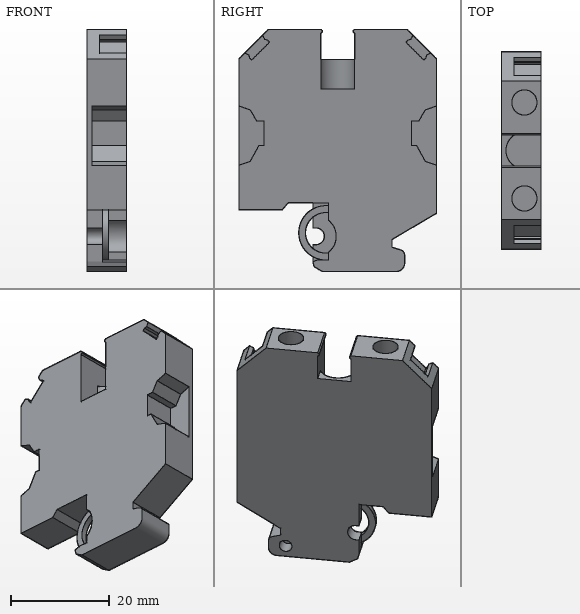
import cadquery as cq
import math

thickness = 8.0
length = 40.0
height = 49.0
half_length = length / 2

top_chamfer = 6.0
body_bottom_z = 12.5
underside_step_z = 13.9
step_outer_y = -11.2
step_inner_y = -10.0
rear_bottom_z = 11.8

foot_front_y = -5.05
foot_neck_y = 11.0
foot_neck_top_z = 6.5
foot_neck_bottom_z = 4.95
foot_toe_y = 13.55
toe_slope_end = (12.75, 4.4)
toe_side_top_z = 3.4
toe_radius = 1.75
foot_chamfer_upper_z = 2.0
foot_chamfer_mid = (-4.8, 1.0)
foot_chamfer_lower_y = -3.1
foot_hole_center = (10.0, 2.5)
foot_hole_diameter = 2.6
foot_hole_depth = 3.0

channel_width = 6.8
channel_depth = 6.1
bead_height = 0.28
slot_radius = 3.72
slot_depth = 6.0

screw_x = 4.63
screw_y = 9.7
screw_diameter = 5.1
screw_depth = 12.0

label_x = 2.55
label_width = 5.1
label_depth = 2.0
lip_height = 0.3
lip_tip_depth = 0.9
lip_base_depth = 1.4

entry_x = 1.05
entry_mid_z = 27.5
entry_mouth_half = 6.0
entry_lip_half = 5.2
entry_lip_depth = 2.3
entry_throat_top_z = 30.5
entry_throat_bottom_z = 25.5
entry_throat_top_depth = 3.6
entry_throat_bottom_depth = 4.05
entry_depth = 5.05

ring_x = 3.14
ring_thickness = 1.26
ring_center = (-2.4, 7.85)
ring_outer_radius = 5.5
ring_inner_radius = 4.1
pocket_wall_y = -1.85
pocket_floor_z = 2.4
pocket_floor_front_y = -4.0

notch_center = (-4.4, 7.15)
notch_radius = 1.67
bore_radius = 4.1


def profile_plane(x):
    """Sketch plane at the given X whose local axes are Y and Z."""
    return cq.Workplane("YZ", origin=(x, 0, 0))


def mirrored_pair(solid):
    """The solid together with its mirror image across Y = 0."""
    return solid.union(solid.mirror("XZ"))


def make_housing():
    """Full-thickness outline of the housing and its rail foot."""
    arc_offset = toe_radius * (1 - math.sqrt(0.5))
    return (
        profile_plane(0)
        .moveTo(-half_length, body_bottom_z)
        .lineTo(-half_length, height - top_chamfer)
        .lineTo(-half_length + top_chamfer, height)
        .lineTo(half_length - top_chamfer, height)
        .lineTo(half_length, height - top_chamfer)
        .lineTo(half_length, rear_bottom_z)
        .lineTo(foot_neck_y, foot_neck_top_z)
        .lineTo(foot_neck_y, foot_neck_bottom_z)
        .lineTo(*toe_slope_end)
        .tangentArcPoint((foot_toe_y, toe_side_top_z), relative=False)
        .lineTo(foot_toe_y, toe_radius)
        .threePointArc((foot_toe_y - arc_offset, arc_offset), (foot_toe_y - toe_radius, 0))
        .lineTo(foot_chamfer_lower_y, 0)
        .lineTo(*foot_chamfer_mid)
        .lineTo(foot_front_y, foot_chamfer_upper_z)
        .lineTo(foot_front_y, underside_step_z)
        .lineTo(step_inner_y, underside_step_z)
        .lineTo(step_outer_y, body_bottom_z)
        .close()
        .extrude(thickness)
    )


def make_channel():
    """Top channel, narrowed by the rim beads, and the round-ended slot below it."""
    half_width = channel_width / 2
    floor_z = height - channel_depth
    channel = (
        profile_plane(0)
        .moveTo(-half_width, height)
        .lineTo(-half_width + bead_height, height - bead_height)
        .lineTo(-half_width + bead_height, height - 2 * bead_height)
        .lineTo(-half_width, height - 3 * bead_height)
        .lineTo(-half_width, floor_z)
        .lineTo(half_width, floor_z)
        .lineTo(half_width, height - 3 * bead_height)
        .lineTo(half_width - bead_height, height - 2 * bead_height)
        .lineTo(half_width - bead_height, height - bead_height)
        .lineTo(half_width, height)
        .close()
        .extrude(thickness)
    )
    arc_start_x = screw_x - math.sqrt(slot_radius**2 - half_width**2)
    slot = (
        cq.Workplane("XY", origin=(0, 0, floor_z))
        .moveTo(thickness, half_width)
        .lineTo(arc_start_x, half_width)
        .threePointArc((screw_x - slot_radius, 0), (arc_start_x, -half_width))
        .lineTo(thickness, -half_width)
        .close()
        .extrude(-slot_depth)
    )
    return channel.union(slot)


def make_screw_holes():
    """Blind round holes down from the top face."""
    return (
        cq.Workplane("XY", origin=(screw_x, 0, height))
        .pushPoints([(0, screw_y), (0, -screw_y)])
        .circle(screw_diameter / 2)
        .extrude(-screw_depth)
    )


def make_label_recesses():
    """Recesses square to the top chamfers, undercut behind their lips."""
    diagonal = math.sqrt(0.5)
    along = (diagonal, diagonal)
    inward = (diagonal, -diagonal)
    middle = (-half_length + top_chamfer / 2, height - top_chamfer / 2)

    def chamfer_point(distance, depth):
        """Point at a distance up the chamfer from its middle and a depth below it."""
        return (
            middle[0] + along[0] * distance + inward[0] * depth,
            middle[1] + along[1] * distance + inward[1] * depth,
        )

    half_width = label_width / 2
    corners = [
        chamfer_point(-half_width, 0),
        chamfer_point(-half_width + lip_height, lip_tip_depth),
        chamfer_point(-half_width, lip_base_depth),
        chamfer_point(-half_width, label_depth),
        chamfer_point(half_width, label_depth),
        chamfer_point(half_width, lip_base_depth),
        chamfer_point(half_width - lip_height, lip_tip_depth),
        chamfer_point(half_width, 0),
    ]
    recess = profile_plane(label_x).polyline(corners).close().extrude(thickness - label_x)
    return mirrored_pair(recess)


def make_wire_entries():
    """Funnels that narrow from each end face to a flat back wall."""
    entry = (
        profile_plane(entry_x)
        .moveTo(-half_length, entry_mid_z - entry_mouth_half)
        .lineTo(-half_length + entry_lip_depth, entry_mid_z - entry_lip_half)
        .lineTo(-half_length + entry_throat_bottom_depth, entry_throat_bottom_z)
        .lineTo(-half_length + entry_depth, entry_throat_bottom_z)
        .lineTo(-half_length + entry_depth, entry_throat_top_z)
        .lineTo(-half_length + entry_throat_top_depth, entry_throat_top_z)
        .lineTo(-half_length + entry_lip_depth, entry_mid_z + entry_lip_half)
        .lineTo(-half_length, entry_mid_z + entry_mouth_half)
        .close()
        .extrude(thickness - entry_x)
    )
    return mirrored_pair(entry)


def make_foot_hole():
    """Blind hole in the toe of the foot."""
    return profile_plane(0).center(*foot_hole_center).circle(foot_hole_diameter / 2).extrude(foot_hole_depth)


def make_notch():
    """Round-bottomed notch in the front edge of the foot."""
    center_y, center_z = notch_center
    return (
        profile_plane(0)
        .moveTo(foot_front_y, center_z - notch_radius)
        .lineTo(center_y, center_z - notch_radius)
        .threePointArc((center_y + notch_radius, center_z), (center_y, center_z + notch_radius))
        .lineTo(foot_front_y, center_z + notch_radius)
        .close()
        .extrude(ring_x)
    )


def make_spring_pocket():
    """Pocket in the foot, open to the front, with the bore sunk into its back wall."""
    center_y, center_z = notch_center
    bore_half_height = math.sqrt(bore_radius**2 - (pocket_wall_y - center_y) ** 2)
    return (
        profile_plane(ring_x)
        .moveTo(foot_front_y, foot_chamfer_upper_z)
        .lineTo(pocket_floor_front_y, pocket_floor_z)
        .lineTo(pocket_wall_y, pocket_floor_z)
        .lineTo(pocket_wall_y, center_z - bore_half_height)
        .threePointArc(
            (center_y + bore_radius, center_z),
            (pocket_wall_y, center_z + bore_half_height),
        )
        .lineTo(pocket_wall_y, underside_step_z)
        .lineTo(foot_front_y, underside_step_z)
        .close()
        .extrude(thickness - ring_x)
    )


def make_spring_ring():
    """Flat ring standing in the pocket."""
    return (
        profile_plane(ring_x)
        .center(*ring_center)
        .circle(ring_outer_radius)
        .circle(ring_inner_radius)
        .extrude(ring_thickness)
    )


result = (
    make_housing()
    .cut(make_channel())
    .cut(make_screw_holes())
    .cut(make_label_recesses())
    .cut(make_wire_entries())
    .cut(make_foot_hole())
    .cut(make_notch())
    .cut(make_spring_pocket())
    .union(make_spring_ring())
)